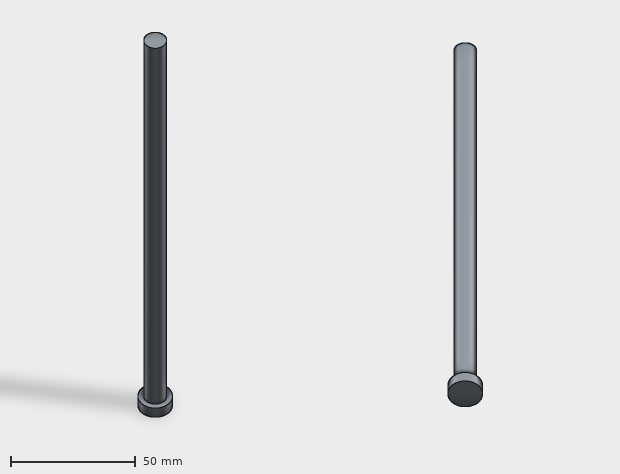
import cadquery as cq

total_length = 205.0
head_diameter = 14.0
head_height = 5.1
shaft_diameter = 9.2

shaft_length = total_length - head_height

head = cq.Workplane("XY").circle(head_diameter / 2).extrude(head_height)
result = head.faces(">Z").workplane().circle(shaft_diameter / 2).extrude(shaft_length)